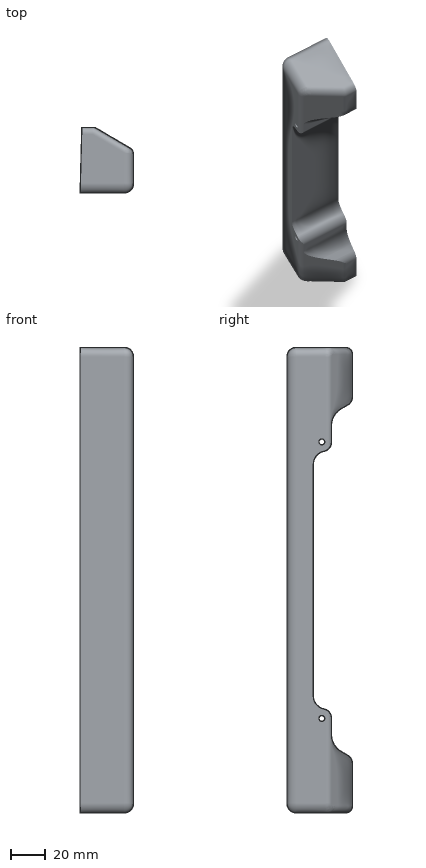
import cadquery as cq
import math

width = 31.0
depth = 38.0
height = 269.0

side_tilt = 1.5
slope_angle = 30.5
slope_start = 8.5
front_radius = 5.5
back_radius = 4.0

pad_length = 31.7
pad_angle = 30.0
pad_radius = 6.0
throat_radius = 11.0
ear_step = 12.0
ear_radius = 5.6
foot_radius = 7.5
recess_depth = 22.5
hole_height = 80.0
hole_diameter = 3.2

left, right = -width / 2, width / 2
front, back = -depth / 2, depth / 2
bottom, top = -height / 2, height / 2
ear_y = back - ear_step
floor_y = back - recess_depth
hole_y = ear_y - ear_radius


def edges_near(solid, points):
    """Select the edge whose centre is nearest to each of the points."""
    selection = solid.edges(cq.NearestToPointSelector(points[0]))
    for point in points[1:]:
        selection = selection.add(solid.edges(cq.NearestToPointSelector(point)))
    return selection


def make_bar():
    """Upright bar with a five-sided section; all but the -X edges are rounded."""
    back_left = left + depth * math.tan(math.radians(side_tilt))
    slope_x = left + slope_start
    slope_y = back - (right - slope_x) * math.tan(math.radians(slope_angle))
    section = [(left, front), (right, front), (right, slope_y), (slope_x, back), (back_left, back)]
    bar = cq.Workplane("XY").workplane(offset=bottom).polyline(section).close().extrude(height)

    front_edges = [(right, front, 0)]
    back_edges = [(right, slope_y, 0), (slope_x, back, 0)]
    for end in (bottom, top):
        front_edges.append((0, front, end))
        front_edges.append((right, (front + slope_y) / 2, end))
        back_edges.append(((right + slope_x) / 2, (slope_y + back) / 2, end))
        back_edges.append(((slope_x + back_left) / 2, back, end))
    bar = edges_near(bar, front_edges).fillet(front_radius)
    return edges_near(bar, back_edges).fillet(back_radius)


def make_side_shape():
    """Recessed side outline, extruded along X over the full width."""
    pad_z = top - pad_length
    throat_z = pad_z - ear_step * math.tan(math.radians(pad_angle))

    centre_distance = ear_radius + foot_radius
    foot_y = floor_y + foot_radius
    foot_z = hole_height - math.sqrt(centre_distance**2 - (foot_y - hole_y) ** 2)
    ear_share = ear_radius / centre_distance
    touch_y = hole_y + (foot_y - hole_y) * ear_share
    touch_z = hole_height + (foot_z - hole_height) * ear_share

    upper_half = (
        cq.Workplane("YZ")
        .moveTo(front, 0)
        .lineTo(front, top)
        .lineTo(back, top)
        .lineTo(back, pad_z)
        .lineTo(ear_y, throat_z)
        .lineTo(ear_y, hole_height)
        .tangentArcPoint((touch_y, touch_z), relative=False)
        .tangentArcPoint((floor_y, foot_z), relative=False)
        .lineTo(floor_y, 0)
        .close()
        .extrude(width / 2, both=True)
    )
    upper_half = edges_near(upper_half, [(0, back, pad_z)]).fillet(pad_radius)
    upper_half = edges_near(upper_half, [(0, ear_y, throat_z)]).fillet(throat_radius)
    return upper_half.union(upper_half.mirror("XY"))


def make_holes():
    """Cutters for the hole through each ear."""
    centres = [(hole_y, -hole_height), (hole_y, hole_height)]
    return cq.Workplane("YZ").pushPoints(centres).circle(hole_diameter / 2).extrude(width, both=True)


result = make_bar().intersect(make_side_shape()).cut(make_holes())